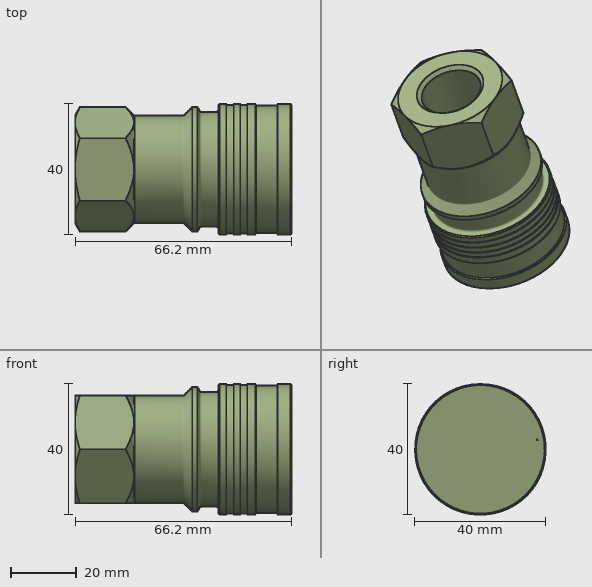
import cadquery as cq
import math

length = 66.15

hex_flats = 33.0
hex_length = 18.0
hex_corner_radius = hex_flats / 2 / math.cos(math.pi / 6)
front_chamfer_angle = math.radians(30)
rear_chamfer_angle = math.radians(45)

neck_radius = 16.45
neck_end = 33.2
neck_fillet = 0.5

collar_radius = 19.05
collar_start = neck_end + collar_radius - neck_radius
collar_end = 37.35
collar_rear_angle = math.radians(60)

waist_radius = 17.55
waist_start = collar_end + (collar_radius - waist_radius) / math.tan(collar_rear_angle)
waist_front_fillet = 0.8
waist_rear_fillet = 0.65

sleeve_start = 43.75
sleeve_radius = 20.0
sleeve_chamfer = 0.4
groove_spans = [(46.2, 48.4), (50.5, 52.55)]
groove_depth = 0.3
recess_start = 55.0
recess_end = 61.95
recess_depth = 0.5
recess_wall_angle = math.radians(60)

bore_radius = 9.35
bore_mouth_radius = 10.55
bore_depth = hex_length
bore_chamfer_angle = math.radians(45)


def rounded_corner(before, corner, after, radius):
    """Start, middle and end of the arc that rounds a corner between two straight lines."""
    corner_point = cq.Vector(*corner)
    to_before = (cq.Vector(*before) - corner_point).normalized()
    to_after = (cq.Vector(*after) - corner_point).normalized()
    half_angle = to_before.getAngle(to_after) / 2
    tangent_length = radius / math.tan(half_angle)
    bisector = (to_before + to_after).normalized()
    middle_distance = radius / math.sin(half_angle) - radius
    return (
        corner_point + to_before * tangent_length,
        corner_point + bisector * middle_distance,
        corner_point + to_after * tangent_length,
    )


def revolve_about_x(outline):
    """Full turn of a list of (x, radius, fillet) corners about the X axis."""
    points = [(x, radius) for x, radius, _ in outline]
    profile = cq.Workplane("XZ").moveTo(*points[0])
    for index in range(1, len(outline)):
        fillet = outline[index][2]
        if fillet:
            start, middle, end = rounded_corner(points[index - 1], points[index], points[index + 1], fillet)
            profile = profile.lineTo(start.x, start.y)
            profile = profile.threePointArc((middle.x, middle.y), (end.x, end.y))
        else:
            profile = profile.lineTo(*points[index])
    return profile.close().revolve(360, (0, 0, 0), (1, 0, 0))


def make_hexagon_and_neck():
    """Hexagon chamfered at both ends by cones, running into the round neck."""
    front_chamfer = (hex_corner_radius - hex_flats / 2) * math.tan(front_chamfer_angle)
    rear_chamfer = (hex_corner_radius - neck_radius) * math.tan(rear_chamfer_angle)
    turned = revolve_about_x([
        (0, 0, 0),
        (0, hex_flats / 2, 0),
        (front_chamfer, hex_corner_radius, 0),
        (hex_length - rear_chamfer, hex_corner_radius, 0),
        (hex_length, neck_radius, neck_fillet),
        (neck_end, neck_radius, 0),
        (neck_end, 0, 0),
    ])
    prism = cq.Workplane("YZ").polygon(6, 2 * hex_corner_radius).extrude(neck_end)
    return turned.intersect(prism)


def make_collar_and_sleeve():
    """Flared collar, waist and sleeve, overlapping the rear half of the neck."""
    sleeve_edge = sleeve_radius - sleeve_chamfer
    recess_radius = sleeve_radius - recess_depth
    recess_wall_width = recess_depth / math.tan(recess_wall_angle)
    overlap_start = (hex_length + neck_end) / 2
    return revolve_about_x([
        (overlap_start, 0, 0),
        (overlap_start, neck_radius, 0),
        (neck_end, neck_radius, neck_fillet),
        (collar_start, collar_radius, 0),
        (collar_end, collar_radius, 0),
        (waist_start, waist_radius, waist_front_fillet),
        (sleeve_start, waist_radius, waist_rear_fillet),
        (sleeve_start, sleeve_edge, 0),
        (sleeve_start + sleeve_chamfer, sleeve_radius, 0),
        (recess_start, sleeve_radius, 0),
        (recess_start + recess_wall_width, recess_radius, 0),
        (recess_end - recess_wall_width, recess_radius, 0),
        (recess_end, sleeve_radius, 0),
        (length - sleeve_chamfer, sleeve_radius, 0),
        (length, sleeve_edge, 0),
        (length, 0, 0),
    ])


def make_groove(start, end):
    """Square-sided ring that cuts one shallow grip groove."""
    floor_radius = sleeve_radius - groove_depth
    return (
        cq.Workplane("YZ", origin=(start, 0, 0))
        .circle(sleeve_radius + groove_depth)
        .circle(floor_radius)
        .extrude(end - start)
    )


def make_bore():
    """Blind bore with a conical mouth."""
    mouth_depth = (bore_mouth_radius - bore_radius) / math.tan(bore_chamfer_angle)
    return revolve_about_x([
        (0, 0, 0),
        (0, bore_mouth_radius, 0),
        (mouth_depth, bore_radius, 0),
        (bore_depth, bore_radius, 0),
        (bore_depth, 0, 0),
    ])


body = make_hexagon_and_neck().union(make_collar_and_sleeve())
for groove_start, groove_end in groove_spans:
    body = body.cut(make_groove(groove_start, groove_end))
result = body.cut(make_bore())